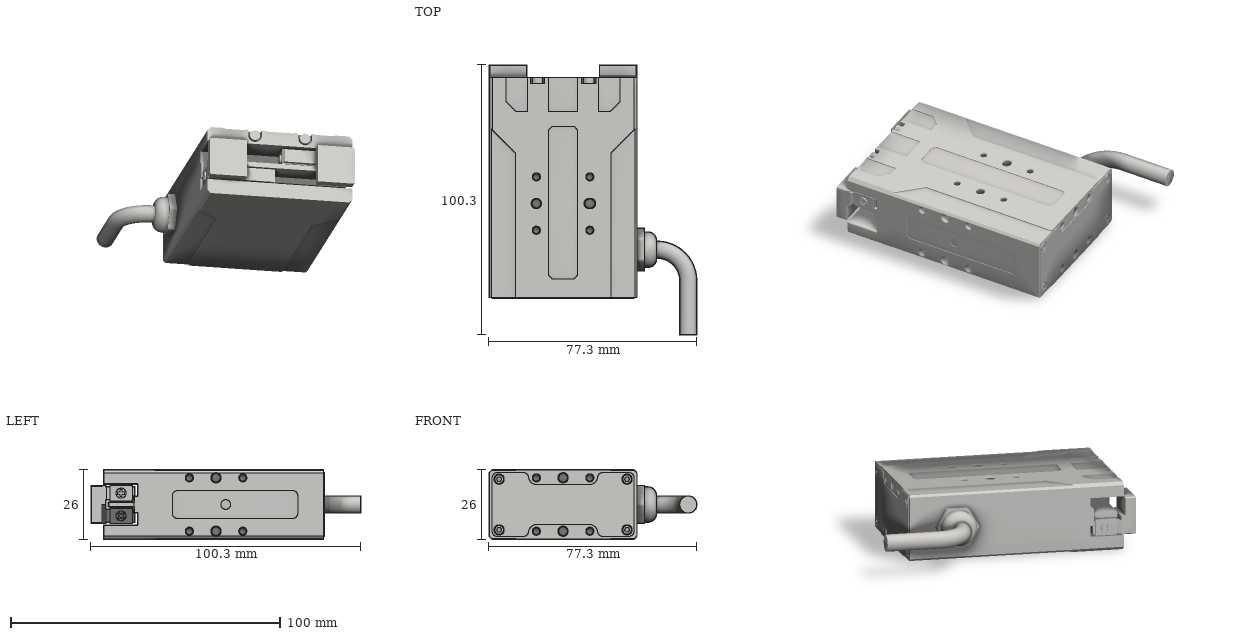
import cadquery as cq
import math


width = 55.0
height = 26.0
case_length = 66.1
head_end = 82.1
edge_chamfer = 1.2
half_width = width / 2
half_height = height / 2

panel_depth = 0.4
panel_inner_x = 17.8
panel_long_side_end = 54.0
panel_tip = panel_long_side_end + half_width - panel_inner_x

pocket_depth = 0.3
center_pocket_width = 10.7
center_pocket_start = 7.2
center_pocket_end = 63.9
center_pocket_corner = 1.3
head_pocket_start = 69.4
side_pocket_inner_x = 13.2
side_pocket_outer_x = 21.2
side_pocket_bevel = 3.6
label_start = 9.8
label_end = 56.5
label_height = 10.3
label_corner = 1.9
label_depth = 0.2
lamp_diameter = 3.6
lamp_y = 36.6
lamp_depth = 2 * label_depth

hole_pitch = 9.9
hole_depth = 6.0
tapped_diameter = 2.4
tapped_mouth = 3.0
drill_point_angle = 118.0
dowel_diameter = 3.2
dowel_mouth = 3.8
dowel_depth = 4.0
dowel_mouth_taper = 45.0
slot_stretch = 0.5
top_hole_y = 35.2
side_hole_y = 40.2

plate_margin = 1.1
plate_height = 0.2
plate_corner = 2.0
plate_notch_half_width = 12.8
plate_notch_z = 7.4
plate_notch_corner = 3.0
plate_screw_x = 23.8
plate_screw_z = 9.4
screw_recess_diameter = 3.8
screw_head_diameter = 3.2
screw_recess_depth = 1.0
socket_size = 1.9

track_start = 69.4
track_half_height = 7.5
track_mouth_chamfer = 0.3
track_rib_end = 70.7
track_rib_half_height = 3.1
divider_end = 80.5
divider_half_height = 0.9
divider_inset = 2.5
divider_chamfer = 0.4
selection_margin = 0.1

cap_screw_x = 9.5
cap_slot_width = 5.3
cap_slot_depth = 2.3
cap_head_diameter = 3.8
cap_head_clearance = 0.1
cap_screw_z = half_height - cap_head_diameter / 2 - cap_head_clearance

gland_y = 18.1
nut_across_flats = 14.1
nut_corner_radius = 1.2
nut_length = 2.7
dome_radius = 6.6
dome_length = 4.6
dome_round = 3.3
cable_radius = 3.2
cable_bend_radius = 11.6
cable_end_y = -13.6
overall_width = 77.3
cable_reach = overall_width - half_width

jaw_end = 86.7
finger_width = 14.0
finger_half_height = 7.1
finger_chamfer = 0.4
finger_start = 82.7
foot_start = 81.9
neck_start = 81.2
neck_inset = 0.5
neck_bottom = 0.0
slide_start = 71.3
slide_end = 79.7
slide_bottom = 1.3
slide_top = 7.1
slide_inset = 0.5
slide_inner_x = -1.5
tongue_start = 70.4
tongue_bottom = 1.7
tongue_top = 6.6
tongue_rib_clearance = 0.1
tongue_inset = 0.3
tongue_shoulder = 81.0
jaw_screw_y = 75.6
jaw_screw_z = 4.2
jaw_screw_diameter = 3.7
jaw_screw_height = slide_inset
cross_length = 2.6
cross_width = 0.8
cross_depth = 0.3
inner_screw_turn = 45.0


def block(x0, x1, y0, y1, z0, z1):
    """Box between two opposite corners."""
    return cq.Workplane("XY").box(x1 - x0, y1 - y0, z1 - z0, centered=False).translate((x0, y0, z0))


def face_plane(face, u, v):
    """Plane on an outer face of the housing, with its normal pointing outwards."""
    if face == "top":
        return cq.Plane((u, v, half_height), xDir=(1, 0, 0), normal=(0, 0, 1))
    if face == "side":
        return cq.Plane((-half_width, u, v), xDir=(0, -1, 0), normal=(-1, 0, 0))
    depth = plate_height if face == "end" else 0
    return cq.Plane((u, depth, v), xDir=(1, 0, 0), normal=(0, -1, 0))


def tapped_hole(face, u, v):
    """Cutter for a drilled hole with a countersunk mouth and a conical bottom."""
    radius = tapped_diameter / 2
    mouth_radius = tapped_mouth / 2
    point_length = radius / math.tan(math.radians(drill_point_angle / 2))
    profile = (
        cq.Workplane("XZ")
        .moveTo(0, 0)
        .lineTo(mouth_radius, 0)
        .lineTo(radius, radius - mouth_radius)
        .lineTo(radius, -hole_depth)
        .lineTo(0, -hole_depth - point_length)
        .close()
    )
    cutter = profile.revolve(360, (0, 0, 0), (0, 1, 0)).val()
    return cq.Workplane(cutter.moved(cq.Location(face_plane(face, u, v))))


def dowel_hole(face, u, v, stretch=0.0):
    """Cutter for a flat-bottomed dowel hole, or a slot when stretched along the face's x direction."""
    mouth = (dowel_mouth - dowel_diameter) / 2
    plane = cq.Workplane(face_plane(face, u, v))
    if stretch:
        bore = plane.slot2D(dowel_diameter + stretch, dowel_diameter).extrude(-dowel_depth)
        flare = plane.slot2D(dowel_mouth + stretch, dowel_mouth).extrude(-mouth, taper=dowel_mouth_taper)
        return bore.union(flare)
    bore = plane.circle(dowel_diameter / 2).extrude(-dowel_depth)
    return bore.union(plane.circle(dowel_mouth / 2).extrude(-mouth, taper=dowel_mouth_taper))


def mounting_holes():
    """Cutters for the hole patterns in the top, side and end faces."""
    cutters = []
    for sign in (-1, 1):
        row = sign * hole_pitch
        for step in (-hole_pitch, hole_pitch):
            cutters.append(tapped_hole("top", row, top_hole_y + step))
            cutters.append(tapped_hole("side", side_hole_y + step, row))
            cutters.append(tapped_hole("end", step, row))
        cutters.append(dowel_hole("top", row, top_hole_y, slot_stretch if sign > 0 else 0.0))
        cutters.append(dowel_hole("side", side_hole_y, row))
        cutters.append(dowel_hole("end", 0, row))
    return cutters


def outer_block(y0, y1):
    """Length of the housing section with its four long edges chamfered."""
    return block(-half_width, half_width, y0, y1, -half_height, half_height).edges("|Y").chamfer(edge_chamfer)


def side_panel(side, level):
    """Cutter for one relieved panel; side is the sign of x, level the sign of z."""
    outline = [
        (side * half_width, plate_height),
        (side * panel_inner_x, plate_height),
        (side * panel_inner_x, panel_long_side_end),
        (side * half_width, panel_tip),
    ]
    return (
        cq.Workplane("XY", origin=(0, 0, level * half_height))
        .polyline(outline)
        .close()
        .extrude(-level * panel_depth)
    )


def make_end_plate():
    """End plate: a rounded rectangle with a stepped notch above and below."""
    x_out = half_width - plate_margin
    z_out = half_height - plate_margin
    plate = cq.Workplane("XZ").rect(2 * x_out, 2 * z_out).extrude(-plate_height)
    notch = block(
        -plate_notch_half_width, plate_notch_half_width, 0, plate_height, plate_notch_z, half_height
    )
    notch = notch.edges("|Y and <Z").fillet(plate_notch_corner)
    plate = plate.cut(notch).cut(notch.mirror("XY"))
    return plate.faces(">Z or <Z").edges("|Y").fillet(plate_corner)


def plate_screw(x, z):
    """Cutter that leaves a countersunk socket screw head in the end plate."""
    plane = cq.Workplane(face_plane("plate", x, z))
    ring = plane.circle(screw_recess_diameter / 2).circle(screw_head_diameter / 2).extrude(-screw_recess_depth)
    return ring.union(plane.polygon(6, socket_size).extrude(-screw_recess_depth))


def center_pocket(y0, y1):
    """Cutter for a shallow pocket on the middle line of the top face."""
    half_pocket = center_pocket_width / 2
    return block(-half_pocket, half_pocket, y0, y1, half_height - pocket_depth, half_height)


def make_case():
    """Motor case with its panels, pockets, mounting holes and end plate."""
    case = outer_block(plate_height, case_length)
    for side in (-1, 1):
        for level in (-1, 1):
            case = case.cut(side_panel(side, level))

    pocket = center_pocket(center_pocket_start, center_pocket_end)
    case = case.cut(pocket.edges("|Z").chamfer(center_pocket_corner))

    label = block(
        -half_width, -half_width + label_depth, label_start, label_end, -label_height / 2, label_height / 2
    )
    lamp = cq.Workplane(face_plane("side", lamp_y, 0)).circle(lamp_diameter / 2).extrude(-lamp_depth)
    case = case.cut(label.edges("|X").fillet(label_corner)).cut(lamp)

    case = case.union(make_end_plate())
    for x in (-plate_screw_x, plate_screw_x):
        for z in (-plate_screw_z, plate_screw_z):
            case = case.cut(plate_screw(x, z))
    for cutter in mounting_holes():
        case = case.cut(cutter)
    return case


def cut_track(head):
    """Open the jaw track through the head and leave its rib and the divider between the slides."""
    track = block(-half_width, half_width, track_start, head_end, -track_half_height, track_half_height)
    head = head.cut(track)
    reach_z = track_half_height + selection_margin
    mouth_edges = cq.selectors.BoxSelector(
        (-half_width - selection_margin, track_start + selection_margin, -reach_z),
        (-half_width + selection_margin, head_end - selection_margin, reach_z),
    )
    head = head.edges("|Y").edges(mouth_edges).chamfer(track_mouth_chamfer)
    rib = block(
        -half_width, half_width, track_start, track_rib_end, -track_rib_half_height, track_rib_half_height
    )
    divider_reach = half_width - divider_inset
    divider = block(
        -divider_reach, divider_reach, track_rib_end, divider_end, -divider_half_height, divider_half_height
    )
    divider = divider.edges(">Y and |Z").chamfer(divider_chamfer)
    return head.union(rib).union(divider)


def head_side_pocket(side):
    """Cutter for the bevelled pocket above one jaw."""
    outline = [
        (side * side_pocket_inner_x, head_end),
        (side * side_pocket_inner_x, head_pocket_start),
        (side * (side_pocket_outer_x - side_pocket_bevel), head_pocket_start),
        (side * side_pocket_outer_x, head_pocket_start + side_pocket_bevel),
        (side * side_pocket_outer_x, head_end),
    ]
    return cq.Workplane("XY", origin=(0, 0, half_height)).polyline(outline).close().extrude(-pocket_depth)


def add_cap_screw(head, x):
    """Cut the open slot for one cap screw and put the screw head in it."""
    slot_radius = cap_slot_width / 2
    plane = cq.Workplane(cq.Plane((x, head_end, cap_screw_z), xDir=(1, 0, 0), normal=(0, -1, 0)))
    slot = plane.circle(slot_radius).extrude(cap_slot_depth)
    opening = block(
        x - slot_radius, x + slot_radius, head_end - cap_slot_depth, head_end, cap_screw_z, half_height
    )
    screw = plane.circle(cap_head_diameter / 2).extrude(cap_slot_depth)
    return head.cut(slot).cut(opening).union(screw)


def make_head():
    """Guide head with the jaw track, the pockets above it and the cap screws."""
    head = cut_track(outer_block(case_length, head_end))
    head = head.cut(center_pocket(head_pocket_start, head_end))
    for side in (-1, 1):
        head = head.cut(head_side_pocket(side))
        head = add_cap_screw(head, side * cap_screw_x)
    return head


def make_gland():
    """Hexagonal gland nut with a domed cap."""
    across_corners = nut_across_flats / math.cos(math.pi / 6)
    plane = cq.Workplane("YZ", origin=(half_width, gland_y, 0))
    nut = plane.polygon(6, across_corners).extrude(nut_length).edges("|X").fillet(nut_corner_radius)
    dome = (
        plane.workplane(offset=nut_length)
        .circle(dome_radius)
        .extrude(dome_length)
        .faces(">X")
        .edges()
        .fillet(dome_round)
    )
    return nut.union(dome)


def make_cable():
    """Cable that leaves the gland along X, bends through a right angle and runs along -Y."""
    cable_x = cable_reach - cable_radius
    bend_center_x = cable_x - cable_bend_radius
    bend_end_y = gland_y - cable_bend_radius
    diagonal = cable_bend_radius * math.sin(math.pi / 4)
    start_x = half_width + nut_length
    section = cq.Plane((start_x, gland_y, 0), xDir=(0, -1, 0), normal=(1, 0, 0))
    path = (
        cq.Workplane("XY")
        .moveTo(start_x, gland_y)
        .lineTo(bend_center_x, gland_y)
        .threePointArc((bend_center_x + diagonal, bend_end_y + diagonal), (cable_x, bend_end_y))
        .lineTo(cable_x, cable_end_y)
    )
    return cq.Workplane(section).circle(cable_radius).sweep(path)


def make_housing():
    """Case, head, gland and cable as one body; the joint between case and head stays as an edge."""
    case = make_case().union(make_gland()).union(make_cable())
    return case.union(make_head(), clean=False)


def jaw_screw(x, side, turn):
    """Cross-head screw on one end of the slide; side is the sign of x it faces, turn rotates its cross."""
    plane = cq.Workplane(cq.Plane((x, jaw_screw_y, jaw_screw_z), xDir=(0, 1, 0), normal=(side, 0, 0)))
    screw = plane.circle(jaw_screw_diameter / 2).extrude(jaw_screw_height)
    cross = plane.workplane(offset=jaw_screw_height).transformed(rotate=(0, 0, turn))
    for length, breadth in ((cross_length, cross_width), (cross_width, cross_length)):
        screw = screw.cut(cross.rect(length, breadth).extrude(-cross_depth))
    return screw


def make_jaw():
    """Jaw at the -X end: a finger plate, a neck and a slide in the upper half of the track."""
    outer_x = -half_width
    slide_x = outer_x + slide_inset
    finger_inner_x = outer_x + finger_width
    neck_inner_x = finger_inner_x - neck_inset
    finger = block(outer_x, finger_inner_x, finger_start, jaw_end, -finger_half_height, finger_half_height)
    finger = finger.edges("<X and |Y").chamfer(finger_chamfer)
    foot = block(outer_x, finger_inner_x, foot_start, finger_start, neck_bottom, slide_top)
    neck = block(outer_x, neck_inner_x, neck_start, foot_start, neck_bottom, slide_top)
    slide = block(slide_x, slide_inner_x, slide_start, slide_end, slide_bottom, slide_top)

    rib_relief_y = track_rib_end + tongue_rib_clearance
    tongue_inner_x = slide_inner_x - tongue_inset
    tongue_outline = [
        (slide_x + tongue_inset, tongue_start),
        (slide_x + tongue_inset, slide_start),
        (slide_x, slide_start),
        (slide_x, slide_end),
        (outer_x, tongue_shoulder),
        (outer_x, neck_start),
        (tongue_inner_x, neck_start),
        (tongue_inner_x, tongue_start),
    ]
    tongue = (
        cq.Workplane("XY", origin=(0, 0, tongue_bottom))
        .polyline(tongue_outline)
        .close()
        .extrude(tongue_top - tongue_bottom)
    )
    rib_relief = block(
        outer_x, 0, tongue_start, rib_relief_y, 0, track_rib_half_height + tongue_rib_clearance
    )
    jaw = finger.union(foot).union(neck).union(slide).union(tongue.cut(rib_relief))

    outer_screw = jaw_screw(slide_x, -1, 0)
    inner_screw = jaw_screw(slide_inner_x, 1, inner_screw_turn)
    return jaw.union(outer_screw).union(inner_screw)


housing = make_housing()
jaws = [make_jaw().rotate((0, 0, 0), (0, 1, 0), turn) for turn in (0, 180)]

result = cq.Compound.makeCompound([housing.val(), *(jaw.val() for jaw in jaws)])